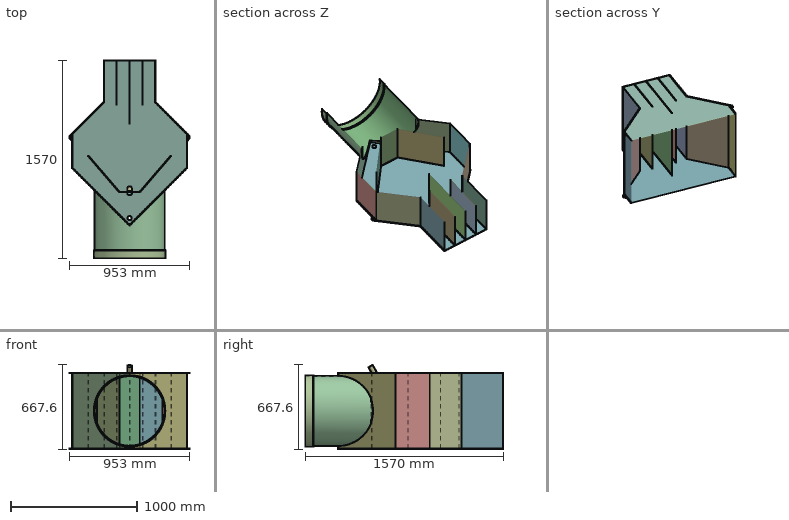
import cadquery as cq
import math


overall_length = 1570.0
overall_height = 667.63
sheet = 5.0
inner_height = 595.0
box_height = inner_height + 2 * sheet
neck_half_width = 206.0
neck_length = 329.0
body_half_width = 457.0
side_wall_length = 273.0

shoulder_y = -neck_length
side_back_y = shoulder_y - (body_half_width - neck_half_width)
side_front_y = side_back_y - side_wall_length
tip_y = side_front_y - body_half_width
half_turn = math.radians(22.5)

overall_width = 953.0
lug_edge_length = 19.0
lug_hole_diameter = 15.0
lug_hole_x = 465.5
lug_x = overall_width / 2
lug_back_y = side_back_y - (lug_x - body_half_width)
lug_front_y = lug_back_y - lug_edge_length
tip_hole_diameter = 32.0
tip_hole_setback = 60.0

duct_outer_diameter = 560.0
duct_inner_diameter = 550.0
socket_outer_diameter = 570.0
socket_inner_diameter = 560.0
socket_length = 65.0
socket_depth = 60.0
cone_length = (socket_outer_diameter - duct_outer_diameter) / 2
inlet_half_width = 261.0

nose_half_width = 82.0
nose_y = -1046.0
deflector_half_width = 330.0
deflector_angle = 49.3
fin_pitch = neck_half_width / 2
centre_fin_length = 500.0
side_fin_length = 350.0

nozzle_outer_diameter = 40.0
nozzle_inner_diameter = 36.67
nozzle_tilt = 30.0
nozzle_y = -1021.0


def mirrored(right_points):
    """Close a right-hand outline with its mirror image across X = 0."""
    left_points = [(-x, y) for x, y in reversed(right_points) if x > 0]
    return right_points + left_points


def prism(points, height):
    """Extrude an XY outline symmetrically about Z = 0."""
    return cq.Workplane("XY").polyline(points).close().extrude(height / 2, both=True)


def body_outline(inset):
    """Plan outline of the box walls, moved inwards by inset; the neck end stays at Y = 0."""
    bend = inset * math.tan(half_turn)
    return mirrored([
        (neck_half_width - inset, 0),
        (neck_half_width - inset, shoulder_y - bend),
        (body_half_width - inset, side_back_y - bend),
        (body_half_width - inset, side_front_y + bend),
        (0, tip_y + inset * math.sqrt(2)),
    ])


def cover_outline():
    """Plan outline of a cover plate: the box outline plus a lug at each side."""
    return mirrored([
        (neck_half_width, 0),
        (neck_half_width, shoulder_y),
        (lug_x, lug_back_y),
        (lug_x, lug_front_y),
        (body_half_width, lug_front_y - (lug_x - body_half_width)),
        (body_half_width, side_front_y),
        (0, tip_y),
    ])


def make_box():
    """Upright walls between two cover plates, with the holes in the covers."""
    box = prism(body_outline(0), inner_height).cut(prism(body_outline(sheet), inner_height))
    for bottom_z in (-box_height / 2, inner_height / 2):
        plane = cq.Workplane("XY", origin=(0, 0, bottom_z))
        cover = plane.polyline(cover_outline()).close().extrude(sheet)
        box = box.union(cover)
    lug_hole_y = (lug_back_y + lug_front_y) / 2
    lug_holes = (
        cq.Workplane("XY")
        .pushPoints([(-lug_hole_x, lug_hole_y), (lug_hole_x, lug_hole_y)])
        .circle(lug_hole_diameter / 2)
        .extrude(box_height, both=True)
    )
    tip_hole = (
        cq.Workplane("XY")
        .center(0, tip_y + tip_hole_setback)
        .circle(tip_hole_diameter / 2)
        .extrude(box_height, both=True)
    )
    return box.cut(lug_holes).cut(tip_hole)


def make_duct():
    """Inlet duct with its end socket, trimmed to the outside of the V-shaped front."""
    end_y = -overall_length
    socket_y = end_y + socket_length
    cone_y = socket_y + cone_length
    step_y = end_y + socket_depth
    outside = [
        (socket_outer_diameter / 2, end_y),
        (socket_outer_diameter / 2, socket_y),
        (duct_outer_diameter / 2, cone_y),
        (duct_outer_diameter / 2, side_front_y),
    ]
    inside = [
        (duct_inner_diameter / 2, side_front_y),
        (duct_inner_diameter / 2, step_y),
        (socket_inner_diameter / 2, step_y),
        (socket_inner_diameter / 2, end_y),
    ]
    duct = cq.Workplane("XY").polyline(outside + inside).close().revolve(360, (0, 0, 0), (0, 1, 0))
    return duct.cut(prism(body_outline(0), inner_height))


def inlet_opening():
    """Opening in the V-shaped front: the duct bore, with straight sides square to the sheet."""
    bore = (
        cq.Workplane("XZ", origin=(0, side_front_y, 0))
        .circle(duct_inner_diameter / 2)
        .extrude(side_front_y - tip_y)
    )
    edge_y = tip_y + inlet_half_width
    limit = prism(
        mirrored([
            (0, tip_y - inlet_half_width),
            (inlet_half_width, edge_y),
            (0, edge_y + inlet_half_width),
        ]),
        inner_height,
    )
    return bore.intersect(limit)


def make_deflector():
    """Bent sheet with a flat nose and two swept-back wings."""
    slope = math.radians(deflector_angle)
    wing_y = nose_y + (deflector_half_width - nose_half_width) * math.tan(slope)
    inner_nose_half_width = nose_half_width - sheet * math.tan(slope / 2)
    right_outline = [
        (nose_half_width, nose_y),
        (deflector_half_width, wing_y),
        (deflector_half_width - sheet * math.sin(slope), wing_y + sheet * math.cos(slope)),
        (inner_nose_half_width, nose_y + sheet),
    ]
    return prism(mirrored(right_outline), inner_height)


def make_fin(x, length):
    """Upright plate along the neck, starting at its open end."""
    return cq.Workplane("XY").box(sheet, length, inner_height).translate((x, -length / 2, 0))


def add_nozzle(box):
    """Add the tilted drain nozzle to the upper cover and bore it through."""
    tilt = math.radians(nozzle_tilt)
    cover_z = box_height / 2
    rise = overall_height - box_height - nozzle_outer_diameter / 2 * math.sin(tilt)
    reach = rise / math.cos(tilt)
    axis = cq.Plane(
        origin=(0, nozzle_y, cover_z), xDir=(1, 0, 0), normal=(0, -math.sin(tilt), math.cos(tilt))
    )
    root = nozzle_outer_diameter

    def rod(diameter):
        return cq.Workplane(axis).workplane(offset=-root).circle(diameter / 2).extrude(root + reach)

    tube = rod(nozzle_outer_diameter).cut(prism(body_outline(0), inner_height))
    return box.union(tube).cut(rod(nozzle_inner_diameter))


part = make_box().cut(inlet_opening()).union(make_duct())
part = part.union(make_deflector())
part = part.union(make_fin(0, centre_fin_length))
for side in (-1, 1):
    part = part.union(make_fin(side * fin_pitch, side_fin_length))
result = add_nozzle(part)